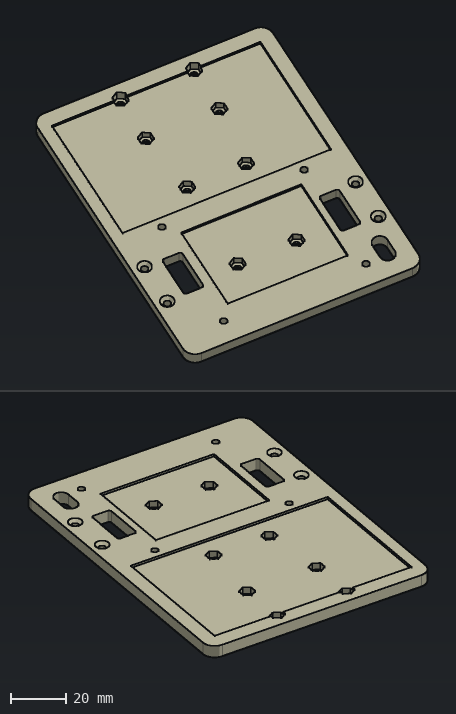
import cadquery as cq

PLATE_LENGTH = 125.0
PLATE_WIDTH = 96.0
PLATE_THICKNESS = 5.0
CORNER_RADIUS = 5.0

POCKET_DEPTH = 1.0
LARGE_POCKET_SIZE = (56.0, 85.0)
LARGE_POCKET_CENTER = (-28.0, -0.5)
SMALL_POCKET_SIZE = (37.0, 49.0)
SMALL_POCKET_CENTER = (28.0, 0.5)

HOLE_DIAMETER = 2.8

NUT_CORNER_DIAMETER = 6.0
NUT_RECESS_DEPTH = 3.8
LEFT_NUT_SPACING = (20.0, 30.0)
LEFT_NUT_CENTER = (-46.0, 0.0)
RIGHT_NUT_SPACING = (40.0, 24.0)
RIGHT_NUT_CENTER = (11.0, 0.0)

PLAIN_HOLE_SPACING = (49.0, 58.0)
PLAIN_HOLE_CENTER = (28.5, 0.0)

WINDOW_CENTER_X = 26.5
WINDOW_SIZE = (18.0, 8.0)
WINDOW_SPACING_Y = 64.0
WINDOW_CORNER_RADIUS = 1.0
COUNTERSINK_SPACING = (WINDOW_SIZE[0], 86.0)
COUNTERSINK_DIAMETER = 5.4
COUNTERSINK_ANGLE = 90.0

SLOT_LENGTH = 12.0
SLOT_WIDTH = 6.0
SLOT_CENTER = (49.5, 38.0)


def top_plane(center):
    """Workplane on the top face with its origin at center."""
    return cq.Workplane("XY", origin=(*center, PLATE_THICKNESS))


def rectangular_pattern(center, spacing):
    """Workplane with points at the four corners of a rectangle."""
    return top_plane(center).rarray(*spacing, 2, 2)


def pocket(size, center):
    return top_plane(center).rect(*size).extrude(-POCKET_DEPTH)


def screw_holes(center, spacing):
    return rectangular_pattern(center, spacing).circle(HOLE_DIAMETER / 2).extrude(-PLATE_THICKNESS)


def nut_recesses(center, spacing):
    return rectangular_pattern(center, spacing).polygon(6, NUT_CORNER_DIAMETER).extrude(-NUT_RECESS_DEPTH)


def cable_windows():
    return (
        top_plane((WINDOW_CENTER_X, 0.0))
        .rarray(1.2, WINDOW_SPACING_Y, 1, 2)
        .rect(*WINDOW_SIZE)
        .extrude(-PLATE_THICKNESS)
        .edges("|Z")
        .fillet(WINDOW_CORNER_RADIUS)
    )


def corner_slot():
    return top_plane(SLOT_CENTER).slot2D(SLOT_LENGTH, SLOT_WIDTH).extrude(-PLATE_THICKNESS)


plate = (
    cq.Workplane("XY")
    .rect(PLATE_LENGTH, PLATE_WIDTH)
    .extrude(PLATE_THICKNESS)
    .edges("|Z")
    .fillet(CORNER_RADIUS)
)

plate = (
    plate.faces(">Z")
    .workplane(origin=(WINDOW_CENTER_X, 0.0, PLATE_THICKNESS))
    .rarray(*COUNTERSINK_SPACING, 2, 2)
    .cskHole(HOLE_DIAMETER, COUNTERSINK_DIAMETER, COUNTERSINK_ANGLE)
)

plate = plate.cut(pocket(LARGE_POCKET_SIZE, LARGE_POCKET_CENTER))
plate = plate.cut(pocket(SMALL_POCKET_SIZE, SMALL_POCKET_CENTER))

for center, spacing in (
    (LEFT_NUT_CENTER, LEFT_NUT_SPACING),
    (RIGHT_NUT_CENTER, RIGHT_NUT_SPACING),
):
    plate = plate.cut(screw_holes(center, spacing))
    plate = plate.cut(nut_recesses(center, spacing))

plate = plate.cut(screw_holes(PLAIN_HOLE_CENTER, PLAIN_HOLE_SPACING))
plate = plate.cut(cable_windows())
plate = plate.cut(corner_slot())

result = plate